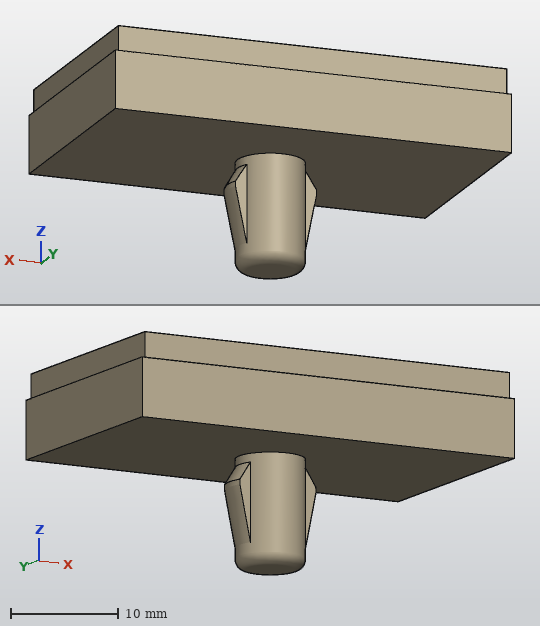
import cadquery as cq

BASE_LENGTH = 39.5
BASE_WIDTH = 22.5
BASE_HEIGHT = 5.7

COVER_INSET_X = 0.4
COVER_INSET_Y = 0.25
COVER_HEIGHT = 2.5

PEG_RADIUS = 3.28
PEG_LENGTH = 10.5
PEG_TIP_FILLET = 1.0

BARB_WIDTH = 3.0
BARB_RADIUS = 4.3
BARB_START_DEPTH = 0.83
BARB_CREST_TOP_DEPTH = 2.55
BARB_CREST_BOTTOM_DEPTH = 3.1
BARB_END_DEPTH = 8.5

BASE_TOP = BASE_HEIGHT
PEG_BOTTOM = -PEG_LENGTH


def make_base():
    """Plain rectangular block."""
    return cq.Workplane("XY").box(BASE_LENGTH, BASE_WIDTH, BASE_HEIGHT, centered=(True, True, False))


def make_cover():
    """Slightly smaller plate lying on the base."""
    length = BASE_LENGTH - 2 * COVER_INSET_X
    width = BASE_WIDTH - 2 * COVER_INSET_Y
    return (
        cq.Workplane("XY", origin=(0, 0, BASE_TOP))
        .box(length, width, COVER_HEIGHT, centered=(True, True, False))
    )


def make_barbs():
    """Double-cone collar cut down to a strip, leaving a barb on each side of the peg."""
    collar = (
        cq.Workplane("XZ")
        .moveTo(0, -BARB_START_DEPTH)
        .lineTo(PEG_RADIUS, -BARB_START_DEPTH)
        .lineTo(BARB_RADIUS, -BARB_CREST_TOP_DEPTH)
        .lineTo(BARB_RADIUS, -BARB_CREST_BOTTOM_DEPTH)
        .lineTo(PEG_RADIUS, -BARB_END_DEPTH)
        .lineTo(0, -BARB_END_DEPTH)
        .close()
        .revolve(360, (0, 0, 0), (0, 1, 0))
    )
    strip = (
        cq.Workplane("XY", origin=(0, 0, PEG_BOTTOM))
        .box(2 * BARB_RADIUS, BARB_WIDTH, PEG_LENGTH, centered=(True, True, False))
    )
    return collar.intersect(strip)


def make_peg():
    """Round peg with a rounded lower end and its two snap barbs."""
    shank = (
        cq.Workplane("XY", origin=(0, 0, PEG_BOTTOM))
        .circle(PEG_RADIUS)
        .extrude(PEG_LENGTH)
        .faces("<Z")
        .edges()
        .fillet(PEG_TIP_FILLET)
    )
    return shank.union(make_barbs())


base = make_base()
cover = make_cover()
peg = make_peg()

result = cq.Compound.makeCompound([base.val(), cover.val(), *peg.vals()])